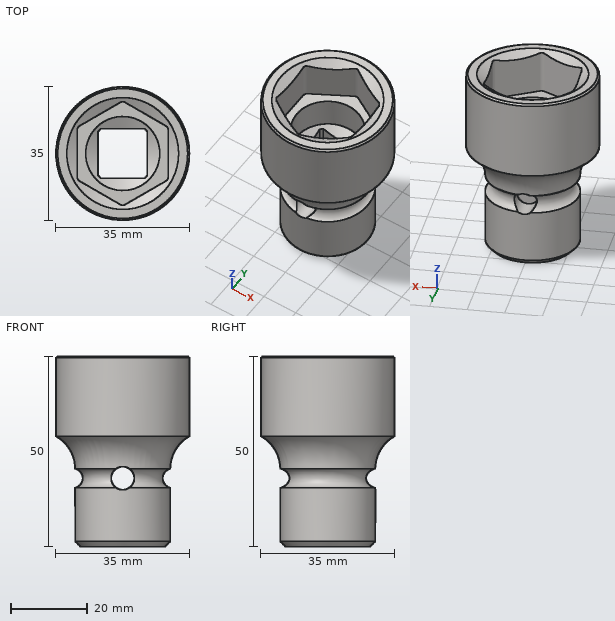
import cadquery as cq
import math

height = 50.0
head_radius = 17.5
neck_radius = 12.5
rim_chamfer = 0.5
base_chamfer = 1.5

head_bottom = 29.0
groove_bottom = 15.5
groove_top = 20.5
groove_radius = 10.5
groove_middle = (groove_bottom + groove_top) / 2

pin_diameter = 6.0

hex_across_flats = 23.8
hex_corner_fillet = 1.25
hex_depth = 11.9
lead_in_radius = 14.65
lead_in_slope = math.radians(30)

bore_radius = 9.7
bore_bottom = 29.0
drill_slope = math.radians(30)

square_side = 12.85
square_corner_chamfer = 0.65


def make_body():
    """Revolve the outer profile; the flare is an arc tangent to the neck."""
    flare_width = head_radius - neck_radius
    flare_height = head_bottom - groove_top
    flare_radius = (flare_width**2 + flare_height**2) / (2 * flare_width)
    half_sweep = math.asin(flare_height / flare_radius) / 2
    flare_middle = (
        neck_radius + flare_radius * (1 - math.cos(half_sweep)),
        groove_top + flare_radius * math.sin(half_sweep),
    )
    return (
        cq.Workplane("XZ")
        .lineTo(neck_radius - base_chamfer, 0)
        .lineTo(neck_radius, base_chamfer)
        .lineTo(neck_radius, groove_bottom)
        .threePointArc((groove_radius, groove_middle), (neck_radius, groove_top))
        .threePointArc(flare_middle, (head_radius, head_bottom))
        .lineTo(head_radius, height - rim_chamfer)
        .lineTo(head_radius - rim_chamfer, height)
        .lineTo(0, height)
        .close()
        .revolve(360, (0, 0), (0, 1))
    )


def make_cone(radius, top, slope):
    """Cone pointing down from a circle at the given height."""
    return (
        cq.Workplane("XZ")
        .moveTo(0, top)
        .lineTo(radius, top)
        .lineTo(0, top - radius * math.tan(slope))
        .close()
        .revolve(360, (0, 0), (0, 1))
    )


def make_hex_socket():
    """Hexagonal recess with corners on the Y axis and rounded edges."""
    across_corners = hex_across_flats / math.cos(math.pi / 6)
    return (
        cq.Workplane("XY")
        .workplane(offset=height - hex_depth)
        .transformed(rotate=(0, 0, 30))
        .polygon(6, across_corners)
        .extrude(hex_depth)
        .edges("|Z")
        .fillet(hex_corner_fillet)
    )


def make_bore():
    """Cylindrical clearance from the hexagon floor, with its drill point."""
    bore = (
        cq.Workplane("XY")
        .workplane(offset=bore_bottom)
        .circle(bore_radius)
        .extrude(height - hex_depth - bore_bottom)
    )
    return bore.union(make_cone(bore_radius, bore_bottom, drill_slope))


def make_square_drive():
    """Square opening running from the base up into the bore."""
    return (
        cq.Workplane("XY")
        .rect(square_side, square_side)
        .extrude(bore_bottom)
        .edges("|Z")
        .chamfer(square_corner_chamfer)
    )


def make_pin_hole():
    """Round hole along Y, centred on the groove."""
    return (
        cq.Workplane("XZ")
        .center(0, groove_middle)
        .circle(pin_diameter / 2)
        .extrude(head_radius, both=True)
    )


result = (
    make_body()
    .cut(make_hex_socket())
    .cut(make_cone(lead_in_radius, height, lead_in_slope))
    .cut(make_bore())
    .cut(make_square_drive())
    .cut(make_pin_hole())
)